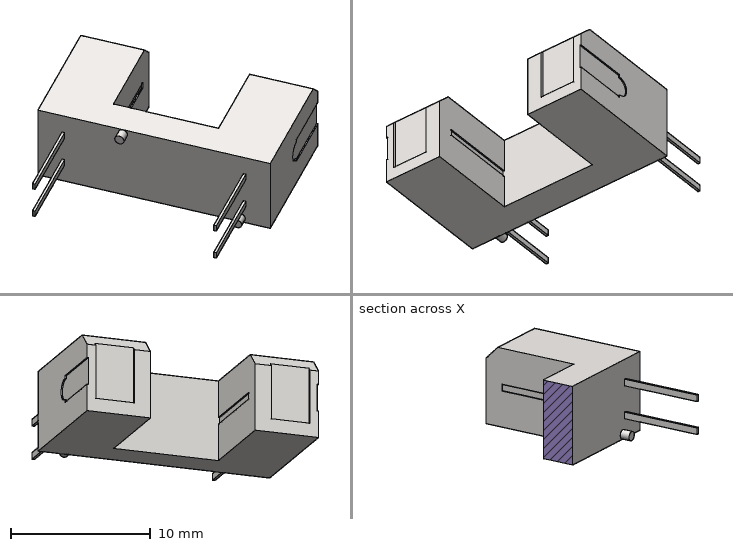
import cadquery as cq

body_width = 17.7
body_depth = 10.0
body_height = 6.0
gap_width = 8.0
gap_depth = 7.5
end_chamfer = 1.0
half_width = body_width / 2
half_gap = gap_width / 2
mid_height = body_height / 2

recess_depth = 0.1
recess_height = 2.0
recess_length = 4.5
recess_tip_radius = 0.8

pocket_depth = 0.2
pocket_width = 2.95
pocket_offset = 0.67
pocket_bottom = 1.0

slit_depth = 0.1
slit_height = 0.5
slit_offset = 1.35
slit_length = gap_depth - slit_offset

lead_length = 6.2
lead_thickness = 0.2
lead_height = 0.5
lead_pitch_x = 13.8
lead_pitch_z = 2.5
peg_length = 0.75
peg_diameter = 0.7
peg_edge_distance = 0.375
upper_peg_x = -2.37
lower_peg_x = 6.6


def corner_box(x, y, z, origin):
    """Box that extends from its lowest corner toward +X, +Y and +Z."""
    return cq.Workplane("XY").box(x, y, z, centered=False).translate(origin)


def make_housing():
    block = corner_box(body_width, body_depth, body_height, (-half_width, 0, 0))
    block = block.edges(">Y and >Z").chamfer(end_chamfer)
    gap = corner_box(gap_width, gap_depth, body_height, (-half_gap, body_depth - gap_depth, 0))
    return block.cut(gap)


def make_outer_recess():
    tip_y = body_depth - recess_length
    slot = corner_box(
        recess_depth, recess_length, recess_height,
        (-half_width, tip_y, mid_height - recess_height / 2),
    )
    tip = (
        cq.Workplane("YZ", origin=(-half_width, tip_y, mid_height))
        .circle(recess_tip_radius)
        .extrude(recess_depth)
    )
    return slot.union(tip)


def make_end_pocket():
    return corner_box(
        pocket_width, pocket_depth, body_height - pocket_bottom,
        (-half_width + pocket_offset, body_depth - pocket_depth, pocket_bottom),
    )


def make_slit():
    return corner_box(
        slit_depth, slit_length, slit_height,
        (-half_gap - slit_depth, body_depth - gap_depth, mid_height - slit_height / 2),
    )


def make_leads():
    return (
        cq.Workplane("XZ", origin=(0, 0, mid_height))
        .rarray(lead_pitch_x, lead_pitch_z, 2, 2)
        .rect(lead_thickness, lead_height)
        .extrude(lead_length)
    )


def make_pegs():
    centers = [(upper_peg_x, body_height - peg_edge_distance), (lower_peg_x, peg_edge_distance)]
    return cq.Workplane("XZ").pushPoints(centers).circle(peg_diameter / 2).extrude(peg_length)


result = make_housing()
for arm_cut in (make_outer_recess(), make_end_pocket(), make_slit()):
    result = result.cut(arm_cut).cut(arm_cut.mirror("YZ"))
result = result.union(make_leads()).union(make_pegs())